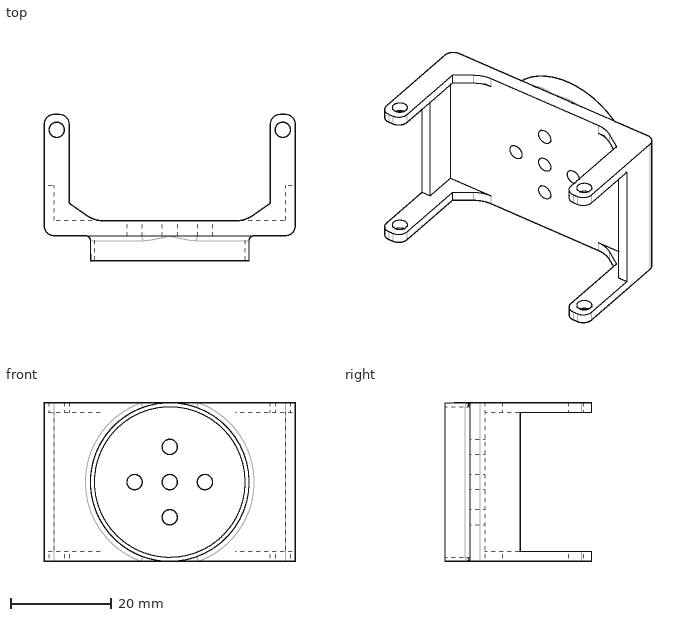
import cadquery as cq

width = 50.1
height = 31.65
arm_length = 24.25
arm_thickness = 5.0
plate_thickness = 3.0
corner_radius = 2.0

gusset_run = 5.0
gusset_rise = 3.5
gusset_blend_radius = 6.0

prong_thickness = 2.0
prong_root = 10.0
pivot_setback = 3.1
hole_diameter = 3.0

side_wall = 2.0

cup_clearance = 0.005
cup_radius = height / 2 - cup_clearance
cup_wall = 0.8
cup_depth = 5.0
cup_fillet = 1.0
bolt_spacing = 7.0

inner_half_width = width / 2 - arm_thickness
gusset_toe = inner_half_width - gusset_run
flange_gap = height - 2 * prong_thickness
select_margin = 0.5


def make_bracket():
    """U-shaped section in XY, with gussets, extruded symmetrically along Z."""
    section = (
        cq.Workplane("XY")
        .moveTo(-width / 2, 0)
        .lineTo(width / 2, 0)
        .lineTo(width / 2, arm_length)
        .lineTo(inner_half_width, arm_length)
        .lineTo(inner_half_width, plate_thickness + gusset_rise)
        .lineTo(gusset_toe, plate_thickness)
        .lineTo(-gusset_toe, plate_thickness)
        .lineTo(-inner_half_width, plate_thickness + gusset_rise)
        .lineTo(-inner_half_width, arm_length)
        .lineTo(-width / 2, arm_length)
        .close()
    )
    bracket = section.extrude(height / 2, both=True)
    toe_edges = cq.selectors.BoxSelector(
        (-gusset_toe - select_margin, plate_thickness - select_margin, -height),
        (gusset_toe + select_margin, plate_thickness + select_margin, height),
    )
    bracket = bracket.edges("|Z").edges(toe_edges).fillet(gusset_blend_radius)
    bracket = bracket.edges("|Z and <Y").fillet(corner_radius)
    return bracket.edges("|Z and >Y").fillet(corner_radius)


def cut_hollow(bracket):
    """Hollow the bracket between its flanges and open both side walls between the prongs."""
    hollow = cq.Workplane("XY").box(
        width - 2 * side_wall, arm_length, flange_gap, centered=(True, False, True)
    )
    opening = cq.Workplane("XY").box(width, arm_length, flange_gap, centered=(True, False, True))
    bracket = bracket.cut(hollow.translate((0, plate_thickness, 0)))
    return bracket.cut(opening.translate((0, prong_root, 0)))


def drill_pivot_holes(bracket):
    """Drill each pair of prongs along Z."""
    pivot_x = (width - arm_thickness) / 2
    pivot_y = arm_length - pivot_setback
    pivots = (
        cq.Workplane("XY")
        .pushPoints([(-pivot_x, pivot_y), (pivot_x, pivot_y)])
        .circle(hole_diameter / 2)
        .extrude(height, both=True)
    )
    return bracket.cut(pivots)


def add_cup(bracket):
    """Open cup on the outer plate face, with a fillet around its root."""
    cup = cq.Workplane("XZ").circle(cup_radius).extrude(cup_depth)
    root_reach = cup_radius + select_margin
    root_edges = cq.selectors.BoxSelector(
        (-root_reach, -select_margin, -root_reach), (root_reach, select_margin, root_reach)
    )
    bracket = bracket.union(cup)
    bracket = bracket.edges("%CIRCLE").edges(root_edges).fillet(cup_fillet)
    cavity = cq.Workplane("XZ").circle(cup_radius - cup_wall).extrude(cup_depth)
    return bracket.cut(cavity)


def drill_bolt_holes(bracket):
    """One central hole with four more around it, through the plate."""
    around = [(0, bolt_spacing), (bolt_spacing, 0), (0, -bolt_spacing), (-bolt_spacing, 0)]
    holes = (
        cq.Workplane("XZ")
        .pushPoints([(0, 0)] + around)
        .circle(hole_diameter / 2)
        .extrude(-plate_thickness)
    )
    return bracket.cut(holes)


result = make_bracket()
result = cut_hollow(result)
result = drill_pivot_holes(result)
result = add_cup(result)
result = drill_bolt_holes(result)